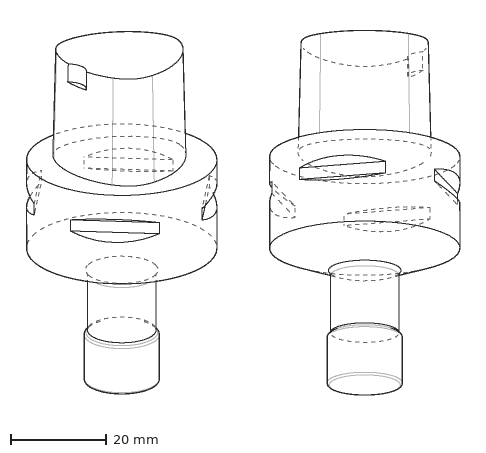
import cadquery as cq
import math

TOTAL_HEIGHT = 74.0
SHOULDER_Z = 50.0
FLANGE_BOTTOM_Z = 30.0
CONE_BOTTOM_Z = 25.1
NECK_TOP_Z = 24.0
TIP_TOP_Z = 11.5

FLANGE_DIAMETER = 40.0
FLANGE_RADIUS = FLANGE_DIAMETER / 2
NECK_DIAMETER = 14.4
NECK_RADIUS = NECK_DIAMETER / 2
CONE_END_RADIUS = 7.6
TIP_RADIUS = 7.9
TIP_SHOULDER_HEIGHT = 1.0
TIP_BOTTOM_ROUND = 0.45

SHANK_BASE_RADIUS = 14.0
SHANK_TOP_RADIUS = 13.4
LOBE_HEIGHT = 0.95
LOBE_COUNT = 3
FIRST_LOBE_ANGLE = 90.0
POINTS_PER_ARC = 9

NOTCH_RADIUS = 4.0
NOTCH_CENTRE_Y = -14.95
NOTCH_DEPTH = 4.1

SLOT_COUNT = 4
SLOT_Z = 41.95
SLOT_FLOOR_DISTANCE = 17.7
SLOT_FLOOR_HEIGHT = 2.5
SLOT_WALL_SLOPE = 30.0


def lobed_point(normal_angle, mean_radius, z):
    """Point and tangent of the constant-width outline at a normal direction."""
    angle = math.radians(normal_angle)
    phase = LOBE_COUNT * math.radians(normal_angle - FIRST_LOBE_ANGLE)
    support = mean_radius + LOBE_HEIGHT * math.cos(phase)
    support_rate = -LOBE_COUNT * LOBE_HEIGHT * math.sin(phase)
    point = cq.Vector(
        support * math.cos(angle) - support_rate * math.sin(angle),
        support * math.sin(angle) + support_rate * math.cos(angle),
        z,
    )
    tangent = cq.Vector(-math.sin(angle), math.cos(angle), 0)
    return point, tangent


def lobed_wire(mean_radius, z):
    """Closed outline of alternating lobe and flank curves, joined tangentially."""
    arc_count = 2 * LOBE_COUNT
    arc_span = 360 / arc_count
    edges = []
    for arc in range(arc_count):
        start = FIRST_LOBE_ANGLE + (arc - 0.5) * arc_span
        samples = [
            lobed_point(start + arc_span * step / (POINTS_PER_ARC - 1), mean_radius, z)
            for step in range(POINTS_PER_ARC)
        ]
        points = [point for point, _ in samples]
        end_tangents = [samples[0][1], samples[-1][1]]
        edges.append(cq.Edge.makeSpline(points, tangents=end_tangents))
    return cq.Wire.assembleEdges(edges)


def make_shank():
    base = lobed_wire(SHANK_BASE_RADIUS, SHOULDER_Z)
    top = lobed_wire(SHANK_TOP_RADIUS, TOTAL_HEIGHT)
    shank = cq.Workplane(cq.Solid.makeLoft([base, top], True))
    notch = (
        cq.Workplane("XY", origin=(0, NOTCH_CENTRE_Y, TOTAL_HEIGHT))
        .circle(NOTCH_RADIUS)
        .extrude(-NOTCH_DEPTH)
    )
    return shank.cut(notch)


def make_turned_body():
    """Flange, cone and neck as one revolved profile."""
    root_drop = CONE_BOTTOM_Z - NECK_TOP_Z
    return (
        cq.Workplane("XZ")
        .moveTo(0, TIP_TOP_Z)
        .lineTo(NECK_RADIUS, TIP_TOP_Z)
        .lineTo(NECK_RADIUS, NECK_TOP_Z)
        .tangentArcPoint((CONE_END_RADIUS - NECK_RADIUS, root_drop))
        .lineTo(FLANGE_RADIUS, FLANGE_BOTTOM_Z)
        .lineTo(FLANGE_RADIUS, SHOULDER_Z)
        .lineTo(0, SHOULDER_Z)
        .close()
        .revolve(360, (0, 0, 0), (0, 1, 0))
    )


def make_gripper_slot(angle):
    """Cutter for a straight slot with a flat floor and flared walls."""
    depth = FLANGE_RADIUS - SLOT_FLOOR_DISTANCE
    floor_half = SLOT_FLOOR_HEIGHT / 2
    mouth_half = floor_half + depth * math.tan(math.radians(SLOT_WALL_SLOPE))
    return (
        cq.Workplane("XZ")
        .moveTo(SLOT_FLOOR_DISTANCE, SLOT_Z - floor_half)
        .lineTo(FLANGE_RADIUS, SLOT_Z - mouth_half)
        .lineTo(FLANGE_RADIUS, SLOT_Z + mouth_half)
        .lineTo(SLOT_FLOOR_DISTANCE, SLOT_Z + floor_half)
        .close()
        .extrude(FLANGE_RADIUS, both=True)
        .rotate((0, 0, 0), (0, 0, 1), angle)
    )


def make_holder():
    holder = make_turned_body().union(make_shank())
    slot_pitch = 360 / SLOT_COUNT
    for index in range(SLOT_COUNT):
        holder = holder.cut(make_gripper_slot((index + 0.5) * slot_pitch))
    return holder


def make_tip():
    """Cutting tip: a cylinder with an S-shaped shoulder and a rounded lower rim."""
    shoulder_step = ((NECK_RADIUS - TIP_RADIUS) / 2, TIP_SHOULDER_HEIGHT / 2)
    return (
        cq.Workplane("XZ")
        .lineTo(TIP_RADIUS, 0)
        .lineTo(TIP_RADIUS, TIP_TOP_Z - TIP_SHOULDER_HEIGHT)
        .tangentArcPoint(shoulder_step)
        .tangentArcPoint(shoulder_step)
        .lineTo(0, TIP_TOP_Z)
        .close()
        .revolve(360, (0, 0, 0), (0, 1, 0))
        .faces("<Z")
        .edges()
        .fillet(TIP_BOTTOM_ROUND)
    )


holder = make_holder()
tip = make_tip()
result = cq.Compound.makeCompound([holder.val(), tip.val()])